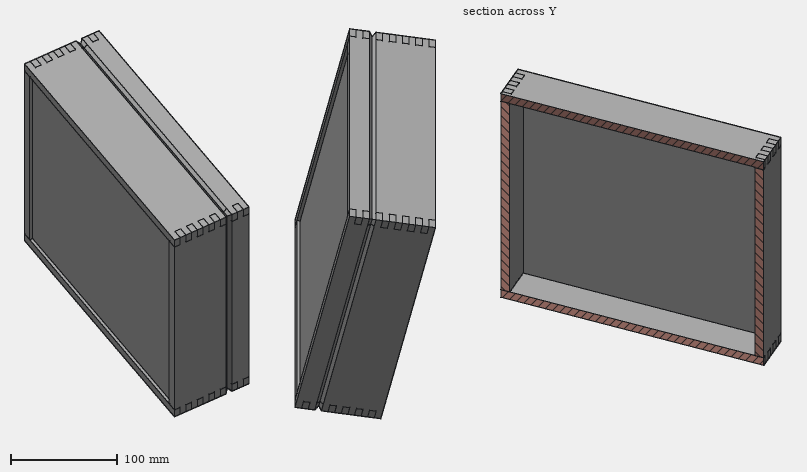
import cadquery as cq

finger_count = 13
finger_width = 6.35
box_width = 269.88
box_height = 241.3
box_depth = finger_count * finger_width

wall = 9.525
split_finger = 9
split_chamfer = finger_width / 2

panel_thickness = 6.35
panel_recess = 3.175

front_y = -box_depth / 2
back_y = box_depth / 2
split_y = front_y + (split_finger + 0.5) * finger_width


def block(width, height, y_start, y_end):
    """Box centred on X and Z, running along Y from y_start to y_end."""
    depth = y_end - y_start
    return cq.Workplane("XY").box(width, depth, height).translate((0, y_start + depth / 2, 0))


def cut_finger_slots(board, first, x_positions, z_positions):
    """Cut every second finger space, from number first, at the given corners."""
    for index in range(first, finger_count, 2):
        y_start = front_y + index * finger_width
        slot = block(wall, wall, y_start, y_start + finger_width)
        for x in x_positions:
            for z in z_positions:
                board = board.cut(slot.translate((x, 0, z)))
    return board


wall_x = (box_width - wall) / 2
wall_z = (box_height - wall) / 2


def long_board(side):
    """Full-depth board at the top (side = 1) or bottom (side = -1), with the even fingers."""
    board = block(box_width, wall, front_y, back_y).translate((0, 0, side * wall_z))
    return cut_finger_slots(board, 1, (-wall_x, wall_x), (side * wall_z,))


def short_board(side):
    """Full-depth board at the +X (side = 1) or -X (side = -1) end, with the odd fingers."""
    board = block(wall, box_height, front_y, back_y).translate((side * wall_x, 0, 0))
    return cut_finger_slots(board, 0, (side * wall_x,), (-wall_z, wall_z))


def panel(y_start):
    """Flat panel filling the opening between the walls."""
    return block(box_width - 2 * wall, box_height - 2 * wall, y_start, y_start + panel_thickness)


tray_envelope = block(box_width, box_height, front_y, split_y).faces(">Y").chamfer(split_chamfer)
lid_envelope = block(box_width, box_height, split_y, back_y).faces("<Y").chamfer(split_chamfer)

bodies = []

for envelope in (tray_envelope, lid_envelope):
    for side in (-1, 1):
        bodies.append(long_board(side).intersect(envelope).val())
        bodies.append(short_board(side).intersect(envelope).val())

tray_panel = panel(front_y + panel_recess)
lid_panel = panel(back_y - panel_recess - panel_thickness)
bodies.append(tray_panel.val())
bodies.append(lid_panel.val())

result = cq.Compound.makeCompound(bodies)